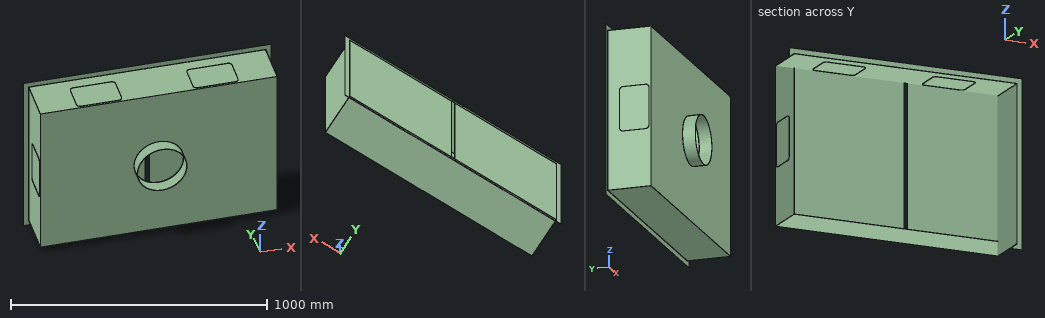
import cadquery as cq

flange_width = 1000.0
flange_height = 700.0
flange_rim = 22.0
sheet = 1.0
box_depth = 180.0
collar_diameter = 200.0
collar_length = 52.0
slot_width = 15.0

cover_length = 182.0
cover_width = 122.0
cover_corner_radius = 15.0
cover_setback = 49.0
top_cover_offset = 235.0

box_width = flange_width - 2 * flange_rim
box_height = flange_height - 2 * flange_rim
slot_height = box_height - 2 * sheet
collar_bore = collar_diameter - 2 * sheet
cover_center_y = -cover_setback - cover_width / 2


def block(width, depth, height, back_y):
    """Block centred on X and Z, running from back_y towards -Y."""
    return cq.Workplane("XY").box(width, depth, height).translate((0, back_y - depth / 2, 0))


def rod(diameter, length, back_y):
    """Cylinder on the Y axis, running from back_y towards -Y."""
    return cq.Workplane("XZ", origin=(0, back_y, 0)).circle(diameter / 2).extrude(length)


def make_top_cover(center_x):
    """Rounded plate as thick as the sheet, flush with the top of the box."""
    return (
        cq.Workplane("XY", origin=(center_x, cover_center_y, box_height / 2 - sheet))
        .rect(cover_length, cover_width)
        .extrude(sheet)
        .edges("|Z")
        .fillet(cover_corner_radius)
    )


def make_side_cover():
    """Rounded plate as thick as the sheet, flush with the -X side of the box."""
    return (
        cq.Workplane("YZ", origin=(-box_width / 2, cover_center_y, 0))
        .rect(cover_width, cover_length)
        .extrude(sheet)
        .edges("|X")
        .fillet(cover_corner_radius)
    )


def make_housing(covers):
    """Hollow sheet box with flange, round collar, back slot and an opening for each cover."""
    cavity = block(box_width - 2 * sheet, box_depth - 2 * sheet, box_height - 2 * sheet, -sheet)
    housing = (
        block(box_width, box_depth, box_height, 0)
        .union(block(flange_width, sheet, flange_height, 0))
        .union(rod(collar_diameter, collar_length, -box_depth))
        .cut(cavity)
        .cut(rod(collar_bore, collar_length + box_depth - sheet, -sheet))
        .cut(block(slot_width, sheet, slot_height, 0))
    )
    for cover in covers:
        housing = housing.cut(cover)
    return housing


covers = [make_top_cover(side * top_cover_offset) for side in (-1, 1)]
covers.append(make_side_cover())
housing = make_housing(covers)

result = cq.Compound.makeCompound([housing.val(), *(cover.val() for cover in covers)])